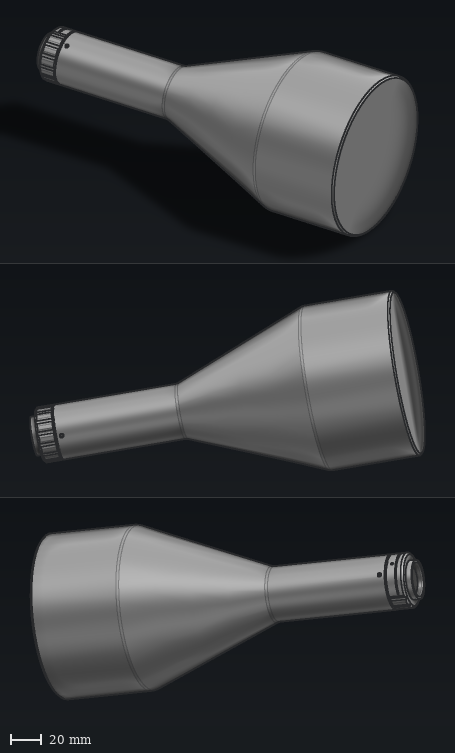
import cadquery as cq
import math

total_length = 246.7
ring_start = 4.0
ring_end = 15.3
tube_start = 16.5
cone_start = 97.7
cone_end = 187.0

snout_radius = 12.8
tube_diameter = 36.3
tube_radius = tube_diameter / 2
neck_radius = 15.3
barrel_radius = 54.0

ring_chamfer = 1.5
barrel_chamfer = 1.2
cone_blend_radius = 5.0

recess_rim_radius = 11.0
recess_seat_radius = 10.4
recess_floor_radius = 9.1
recess_seat_depth = 1.5
recess_depth = 3.5

flute_count = 9
flute_pitch = 25.0
grip_center_angle = 203.0
flute_floor_radius = 17.3
flute_edge_radius = 17.8
flute_edge_half_angle = 3.5
flute_mouth_half_angle = 8.3

index_line_start = 8.6
index_line_width = 0.7
index_line_depth = 0.5
index_hole_x = 11.8
index_hole_diameter = 1.5
index_hole_depth = 2.5

screw_count = 3
screw_x = 20.0
screw_diameter = 2.5
screw_depth = 2.5

overcut = 1.2


def polar_point(radius, angle):
    """Return the (Y, Z) point at a radius and an angle in degrees."""
    turn = math.radians(angle)
    return (radius * math.cos(turn), radius * math.sin(turn))


def cylinder(radius, start, end):
    """Solid cylinder on the X axis between two stations."""
    return cq.Workplane("YZ").workplane(offset=start).circle(radius).extrude(end - start)


def radial_drill(x, angle, diameter, depth):
    """Cutter for a hole drilled from the tube surface toward the axis."""
    direction_y, direction_z = polar_point(1, angle)
    floor_y, floor_z = polar_point(tube_radius - depth, angle)
    return cq.Workplane(
        cq.Solid.makeCylinder(
            diameter / 2,
            depth + overcut,
            cq.Vector(x, floor_y, floor_z),
            cq.Vector(0, direction_y, direction_z),
        )
    )


def make_body():
    """Tube, cone and barrel, with blended cone ends and a chamfered front rim."""
    body = (
        cq.Workplane("XZ")
        .moveTo(tube_start, 0)
        .lineTo(tube_start, tube_radius)
        .lineTo(cone_start, tube_radius)
        .lineTo(cone_end, barrel_radius)
        .lineTo(total_length, barrel_radius)
        .lineTo(total_length, 0)
        .close()
        .revolve(360, (0, 0, 0), (1, 0, 0))
    )
    body = body.faces(">X").chamfer(barrel_chamfer)
    for station in (cone_start, cone_end):
        cone_edge = cq.selectors.BoxSelector(
            (station - overcut, -total_length, -total_length),
            (station + overcut, total_length, total_length),
            boundingbox=True,
        )
        body = body.edges(cone_edge).fillet(cone_blend_radius)
    return body


def make_grip_ring():
    """Chamfered ring with flutes around its grip side."""
    ring = cylinder(tube_radius, ring_start, ring_end).faces("<X").chamfer(ring_chamfer)
    first_angle = grip_center_angle - flute_pitch * (flute_count - 1) / 2
    for index in range(flute_count):
        angle = first_angle + index * flute_pitch
        ring = ring.cut(make_flute(angle))
    return ring


def make_flute(angle):
    """Cutter for one flute: a hollow floor between two shallow bevels, as long as the ring."""
    edge_start = polar_point(flute_edge_radius, angle - flute_edge_half_angle)
    floor_middle = polar_point(flute_floor_radius, angle)
    edge_end = polar_point(flute_edge_radius, angle + flute_edge_half_angle)
    mouth_end = polar_point(tube_radius, angle + flute_mouth_half_angle)
    outer_middle = polar_point(tube_radius + overcut, angle)
    mouth_start = polar_point(tube_radius, angle - flute_mouth_half_angle)
    return (
        cq.Workplane("YZ")
        .workplane(offset=ring_start)
        .moveTo(*edge_start)
        .threePointArc(floor_middle, edge_end)
        .lineTo(*mouth_end)
        .threePointArc(outer_middle, mouth_start)
        .close()
        .extrude(ring_end - ring_start)
    )


def make_index_line():
    """Cutter for the shallow line around the smooth part of the ring."""
    smooth_angle = 360 - flute_pitch * flute_count
    line_floor = tube_radius - index_line_depth
    return (
        cq.Workplane("XY")
        .moveTo(index_line_start, line_floor)
        .lineTo(index_line_start, tube_radius + overcut)
        .lineTo(index_line_start + index_line_width, tube_radius + overcut)
        .lineTo(index_line_start + index_line_width, line_floor)
        .close()
        .revolve(smooth_angle, (0, 0, 0), (1, 0, 0))
        .rotate((0, 0, 0), (1, 0, 0), grip_center_angle + 180 - smooth_angle / 2)
    )


def make_recess():
    """Cutter for the eyepiece recess: a tapered rim and a steeper tapered seat."""
    return (
        cq.Workplane("XY")
        .lineTo(0, recess_rim_radius)
        .lineTo(recess_seat_depth, recess_seat_radius)
        .lineTo(recess_depth, recess_floor_radius)
        .lineTo(recess_depth, 0)
        .close()
        .revolve(360, (0, 0, 0), (1, 0, 0))
    )


result = make_body()
result = result.union(make_grip_ring())
result = result.union(cylinder(neck_radius, ring_end, tube_start))
result = result.union(cylinder(snout_radius, 0, ring_start))
result = result.cut(make_recess()).cut(make_index_line())

index_hole_angle = grip_center_angle - 180
result = result.cut(radial_drill(index_hole_x, index_hole_angle, index_hole_diameter, index_hole_depth))

for screw in range(screw_count):
    screw_angle = screw * 360 / screw_count
    result = result.cut(radial_drill(screw_x, screw_angle, screw_diameter, screw_depth))